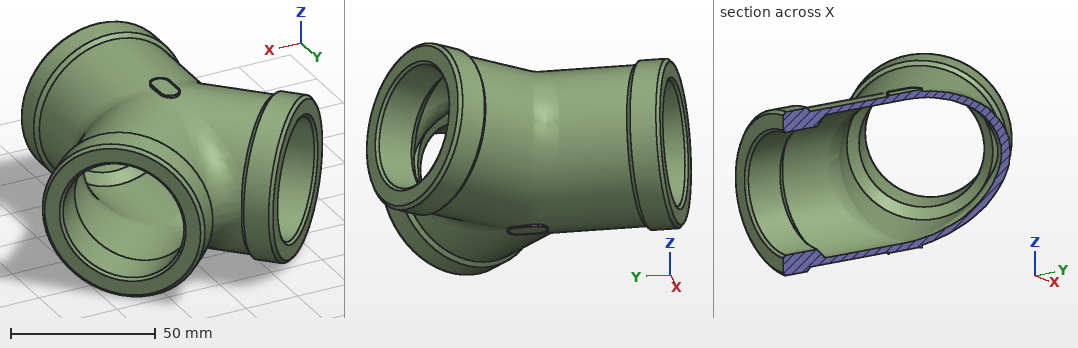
import cadquery as cq
import math

OVERALL_WIDTH = 108.2
STEM_LENGTH = 52.0
BRANCH_ANGLE = 45

TUBE_RADIUS = 56.0 / 2
COLLAR_RADIUS = 59.0 / 2
OUTER_FILLET = 12.0
COLLAR_LENGTH = 10.3
COLLAR_TAPER = COLLAR_RADIUS - TUBE_RADIUS
RIM_CHAMFER = 1.2
RIM_RADIUS = COLLAR_RADIUS - RIM_CHAMFER

BRANCH_LENGTH = (
    OVERALL_WIDTH / 2 - RIM_RADIUS * math.sin(math.radians(BRANCH_ANGLE))
) / math.cos(math.radians(BRANCH_ANGLE))

ARMS = [
    (-90, STEM_LENGTH),
    (BRANCH_ANGLE, BRANCH_LENGTH),
    (180 - BRANCH_ANGLE, BRANCH_LENGTH),
]

CAVITY_RADIUS = 51.2 / 2
CAVITY_FILLET = 10.5
BORE_RADIUS = 43.9 / 2
BORE_LENGTH = 14.4
MOUTH_CHAMFER = 1.0
CAVITY_CONE = CAVITY_RADIUS - BORE_RADIUS
CAVITY_INSET = BORE_LENGTH + CAVITY_CONE

BADGE_WIDTH = 7.4
BADGE_LENGTH = 14.3
BADGE_HEIGHT = 0.5
BADGE_RIM_WIDTH = 0.3
BADGE_RIM_HEIGHT = 0.2


def revolve_along_arm(outline, angle):
    """Revolve an outline of (distance along the arm, radius) points about the arm axis."""
    solid = cq.Workplane("XY").polyline(outline).close().revolve(360, (0, 0, 0), (1, 0, 0))
    return solid.rotate((0, 0, 0), (0, 0, 1), angle)


def arm_cylinder(start, end, radius, angle):
    return revolve_along_arm([(start, 0), (start, radius), (end, radius), (end, 0)], angle)


def filleted_junction(radius, fillet):
    """Three cylinders joined at the origin, with the elliptical seams between them rounded."""
    junction = cq.Workplane("XY")
    for angle, length in ARMS:
        junction = junction.union(arm_cylinder(0, length, radius, angle))
    return junction.edges("%ELLIPSE").fillet(fillet)


def collar(length, angle):
    back = length - COLLAR_LENGTH
    outline = [
        (back - COLLAR_TAPER, 0),
        (back - COLLAR_TAPER, TUBE_RADIUS),
        (back, COLLAR_RADIUS),
        (length - RIM_CHAMFER, COLLAR_RADIUS),
        (length, RIM_RADIUS),
        (length, 0),
    ]
    return revolve_along_arm(outline, angle)


def bore(length, angle):
    cavity_end = length - CAVITY_INSET
    outline = [
        (cavity_end, 0),
        (cavity_end, CAVITY_RADIUS),
        (cavity_end + CAVITY_CONE, BORE_RADIUS),
        (length - MOUTH_CHAMFER, BORE_RADIUS),
        (length, BORE_RADIUS + MOUTH_CHAMFER),
        (length, 0),
    ]
    return revolve_along_arm(outline, angle)


def upright_oval(inset, half_height):
    """Oval prism along Z through the origin, its outline drawn in from the badge edge."""
    return (
        cq.Workplane("XY")
        .slot2D(BADGE_LENGTH - 2 * inset, BADGE_WIDTH - 2 * inset, 90)
        .extrude(half_height, both=True)
    )


def badges():
    """One oval column through the part, so that both of its rimmed ends stand proud of the tubes."""
    top = TUBE_RADIUS + BADGE_HEIGHT
    rim = upright_oval(0, top).cut(upright_oval(BADGE_RIM_WIDTH, top))
    face = upright_oval(BADGE_RIM_WIDTH, top - BADGE_RIM_HEIGHT)
    return rim.union(face)


def passage():
    """Rounded cavity cut square at the end of each arm, then continued by the bores."""
    cavity = filleted_junction(CAVITY_RADIUS, CAVITY_FILLET)
    for angle, length in ARMS:
        cavity = cavity.cut(arm_cylinder(length - CAVITY_INSET, length, COLLAR_RADIUS, angle))
    for angle, length in ARMS:
        cavity = cavity.union(bore(length, angle))
    return cavity


body = filleted_junction(TUBE_RADIUS, OUTER_FILLET)
for arm_angle, arm_length in ARMS:
    body = body.union(collar(arm_length, arm_angle))
body = body.union(badges())

result = body.cut(passage())